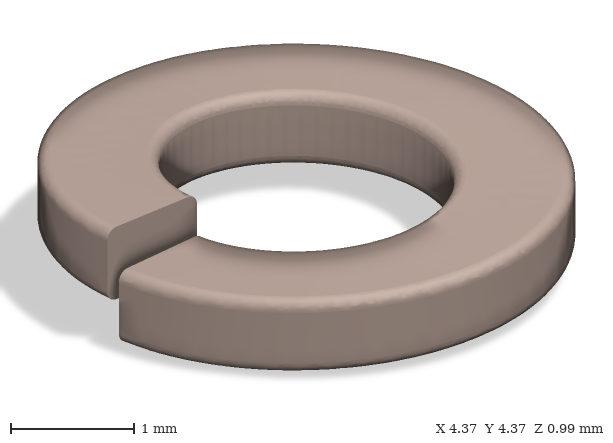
import cadquery as cq

OUTER_DIAMETER = 4.37
INNER_DIAMETER = 2.4
THICKNESS = 0.66
OVERALL_HEIGHT = 0.99
EDGE_RADIUS = 0.1
GAP_ANGLE = 3.5
HIGH_END_ANGLE = 270.0

FULL_TURN = 360.0
section_width = (OUTER_DIAMETER - INNER_DIAMETER) / 2
mean_radius = (OUTER_DIAMETER + INNER_DIAMETER) / 4
rise = OVERALL_HEIGHT - THICKNESS
wound_angle = FULL_TURN - GAP_ANGLE
pitch = rise * FULL_TURN / wound_angle
low_end_angle = HIGH_END_ANGLE - wound_angle


def rounded_section():
    """Washer section in the XZ plane, centred on the start of the helix."""
    sketch = cq.Sketch().rect(section_width, THICKNESS).vertices().fillet(EDGE_RADIUS)
    return cq.Workplane("XZ", origin=(mean_radius, 0, 0)).placeSketch(sketch)


def wound_ring():
    """Section swept up a right-handed helix, its low end at angle zero."""
    helix = cq.Wire.makeHelix(pitch, rise, mean_radius)
    return rounded_section().sweep(cq.Workplane(obj=helix), isFrenet=True)


result = (
    wound_ring()
    .rotate((0, 0, 0), (0, 0, 1), low_end_angle)
    .translate((0, 0, -rise / 2))
)